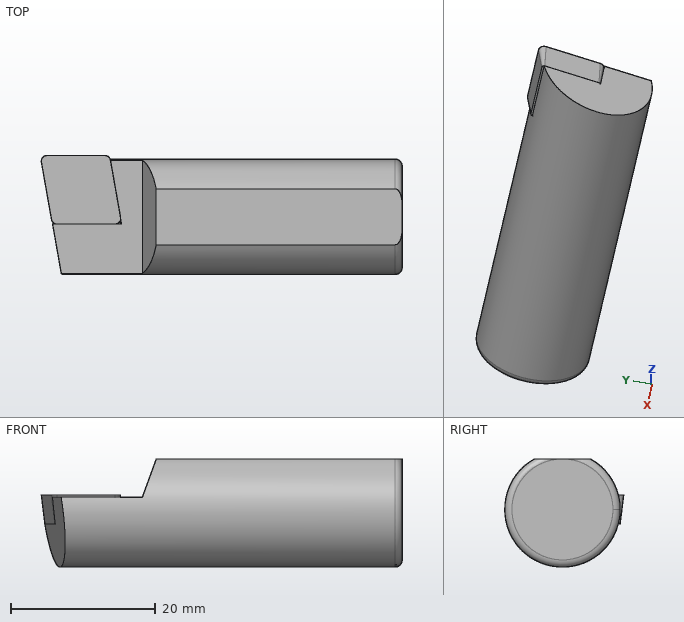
import cadquery as cq
import math

BAR_RADIUS = 8.0
BAR_END_X = 50.0
FLAT_Z = 7.0
END_ROUNDING = 1.0

LEDGE_Z = 1.7
LEDGE_END_X = 14.0
SHOULDER_ANGLE = 20.0

INSERT_TOP_Z = 2.0
INSERT_THICKNESS = 4.0
INSERT_WIDTH = 9.5
INSERT_EDGE_Y = 8.5
CORNER_RADIUS = 0.8
SKEW_ANGLE = 10.0
RELIEF_ANGLE = 7.0

CLEARANCE = 5.0

skew = math.tan(math.radians(SKEW_ANGLE))
side_length = INSERT_WIDTH / math.cos(math.radians(SKEW_ANGLE))

half_tip_angle = math.radians((90.0 - SKEW_ANGLE) / 2)
tip_x = -CORNER_RADIUS * (1 / math.tan(half_tip_angle) - 1)


def front_edge_x(y, z):
    """X of the inclined front plane shared by the insert and the shank."""
    relief = math.tan(math.radians(RELIEF_ANGLE)) / math.cos(math.radians(SKEW_ANGLE))
    return tip_x + skew * (INSERT_EDGE_Y - y) + relief * (INSERT_TOP_Z - z)


def tapered_rhombus(corner_radius=0.0):
    """Rhombic plate tapering downward, with sharp or conically rounded corners."""
    inner_y = INSERT_EDGE_Y - INSERT_WIDTH
    inner_x = front_edge_x(inner_y, INSERT_TOP_Z)
    outline = cq.Sketch().polygon([
        (tip_x, INSERT_EDGE_Y),
        (inner_x, inner_y),
        (inner_x + side_length, inner_y),
        (tip_x + side_length, INSERT_EDGE_Y),
        (tip_x, INSERT_EDGE_Y),
    ])
    if corner_radius > 0:
        outline = outline.vertices().fillet(corner_radius)
    return (
        cq.Workplane("XY", origin=(0, 0, INSERT_TOP_Z))
        .placeSketch(outline)
        .extrude(-INSERT_THICKNESS, taper=RELIEF_ANGLE)
    )


def round_bar():
    """Bar with a rounded rear rim and a clamping flat along its top."""
    bar = (
        cq.Workplane("YZ", origin=(-CLEARANCE, 0, 0))
        .circle(BAR_RADIUS)
        .extrude(BAR_END_X + CLEARANCE)
        .faces(">X").edges().fillet(END_ROUNDING)
    )
    above_flat = cq.Workplane("XY", origin=(0, 0, FLAT_Z)).box(
        4 * BAR_END_X, 4 * BAR_RADIUS, CLEARANCE, centered=(True, True, False)
    )
    return bar.cut(above_flat)


def ledge_cutter():
    """Space above the ledge, ending in the leaning shoulder."""
    top_z = BAR_RADIUS + CLEARANCE
    lean = (top_z - LEDGE_Z) * math.tan(math.radians(SHOULDER_ANGLE))
    return (
        cq.Workplane("XZ")
        .polyline([
            (-2 * CLEARANCE, LEDGE_Z),
            (LEDGE_END_X, LEDGE_Z),
            (LEDGE_END_X + lean, top_z),
            (-2 * CLEARANCE, top_z),
        ])
        .close()
        .extrude(BAR_RADIUS + CLEARANCE, both=True)
    )


def front_cutter():
    """Space in front of the inclined nose plane."""
    reach = BAR_RADIUS + CLEARANCE

    def section(z):
        return cq.Wire.makePolygon([
            cq.Vector(front_edge_x(reach, z), reach, z),
            cq.Vector(front_edge_x(-reach, z), -reach, z),
            cq.Vector(-2 * reach, -reach, z),
            cq.Vector(-2 * reach, reach, z),
        ], close=True)

    return cq.Workplane(cq.Solid.makeLoft([section(-reach), section(reach)], True))


def make_shank():
    shank = round_bar().cut(ledge_cutter()).cut(front_cutter())
    return shank.cut(tapered_rhombus())


shank = make_shank()
insert = tapered_rhombus(CORNER_RADIUS)

result = cq.Compound.makeCompound([shank.val(), insert.val()])